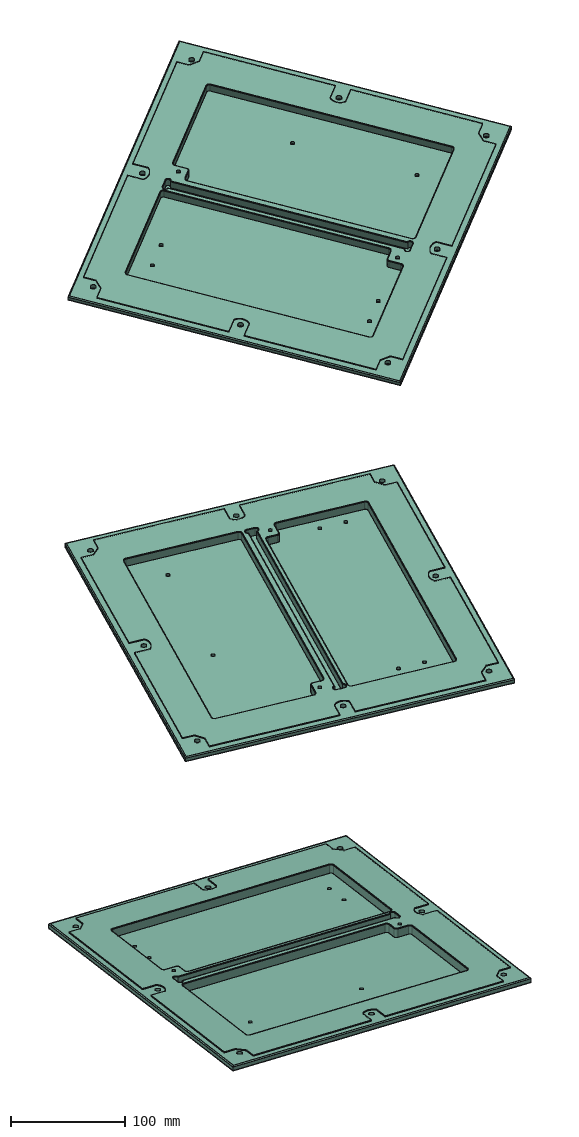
import cadquery as cq

plate_side = 307.5
total_height = 15.0
pan_height = 9.2
rim_chamfer = 1.0
step_height = 1.0
rim_top = total_height - step_height

panel_half = 147.5
hole_offset = 136.3
mount_hole_diameter = 5.0
notch_half_width = 7.0
notch_side_reach = 3.0
notch_arc_reach = 6.0

pan_top_side = 254.0
pan_bottom_side = 237.0

pocket_half_length = 114.0
pocket_depth = 9.0
corner_radius = 2.5
mouth_chamfer = 0.5
pad_length = 15.7
upper_pocket_y = (4.0, 113.8)
upper_pad_y = 17.2
lower_pocket_y = (-pocket_half_length, -13.5)
lower_pad_y = -27.0

slot_y = (-9.2, -1.8)
slot_depth = pocket_depth
relief_radius = 2.0

screw_hole_diameter = 3.5
screw_hole_depth = 3.0
floor_holes = [(-24.3, 80.5), (90.7, 80.5)]
floor_holes += [(x, y) for x in (-97.0, 104.0) for y in (-90.5, -66.0)]
pad_holes = [(-106.7, 11.0), (106.7, -21.0)]


def make_plate():
    return (
        cq.Workplane("XY")
        .workplane(offset=pan_height)
        .rect(plate_side, plate_side)
        .extrude(rim_top - pan_height)
        .faces(">Z")
        .chamfer(rim_chamfer)
    )


def make_pan():
    return (
        cq.Workplane("XY")
        .rect(pan_bottom_side, pan_bottom_side)
        .workplane(offset=pan_height)
        .rect(pan_top_side, pan_top_side)
        .loft(combine=True)
    )


def make_panel():
    """Raised panel, notched at the corners and at the middle of each side."""
    panel = (
        cq.Workplane("XY")
        .workplane(offset=rim_top)
        .rect(2 * panel_half, 2 * panel_half)
        .extrude(step_height)
    )
    inner = hole_offset - notch_half_width
    outer = plate_side / 2
    corner_notch = (
        cq.Workplane("XY")
        .workplane(offset=rim_top)
        .moveTo(outer, outer)
        .lineTo(inner, outer)
        .lineTo(inner, hole_offset)
        .lineTo(hole_offset, inner)
        .lineTo(outer, inner)
        .close()
        .extrude(step_height)
    )
    side_end = hole_offset - notch_side_reach
    side_notch = (
        cq.Workplane("XY")
        .workplane(offset=rim_top)
        .moveTo(outer, notch_half_width)
        .lineTo(side_end, notch_half_width)
        .threePointArc((hole_offset - notch_arc_reach, 0), (side_end, -notch_half_width))
        .lineTo(outer, -notch_half_width)
        .close()
        .extrude(step_height)
    )
    for quarter in range(4):
        for notch in (corner_notch, side_notch):
            panel = panel.cut(notch.rotate((0, 0, 0), (0, 0, 1), 90 * quarter))
    return panel


def box_between(x_range, y_range, depth):
    """Block reaching down from the panel top by the given depth."""
    return (
        cq.Workplane("XY")
        .workplane(offset=total_height - depth)
        .moveTo(x_range[0], y_range[0])
        .lineTo(x_range[1], y_range[0])
        .lineTo(x_range[1], y_range[1])
        .lineTo(x_range[0], y_range[1])
        .close()
        .extrude(depth)
    )


def flare_mouth(opening):
    """Add a 45 degree flare around the top edge of an opening."""
    flare = (
        opening.faces(">Z")
        .wires()
        .toPending()
        .extrude(mouth_chamfer, taper=-45, combine=False)
        .translate((0, 0, -mouth_chamfer))
    )
    return opening.union(flare)


def make_pocket(y_range, pad_x, pad_y):
    """Pocket volume without the rectangular pad in one of its corners."""
    pocket = box_between((-pocket_half_length, pocket_half_length), y_range, pocket_depth)
    pocket = pocket.cut(box_between(pad_x, pad_y, pocket_depth))
    return flare_mouth(pocket.edges("|Z").fillet(corner_radius))


def make_slot():
    """Narrow slot with round cutter reliefs in its corners."""
    slot = box_between((-pocket_half_length, pocket_half_length), slot_y, slot_depth)
    relief_x = pocket_half_length - relief_radius
    reliefs = (
        cq.Workplane("XY")
        .workplane(offset=total_height - slot_depth)
        .pushPoints([(x, y) for x in (-relief_x, relief_x) for y in slot_y])
        .circle(relief_radius)
        .extrude(slot_depth)
    )
    return flare_mouth(slot.union(reliefs))


def make_holes(points, diameter, top, depth):
    return (
        cq.Workplane("XY")
        .workplane(offset=top - depth)
        .pushPoints(points)
        .circle(diameter / 2)
        .extrude(depth)
    )


pad_edge = pocket_half_length - pad_length
upper_pocket = make_pocket(
    upper_pocket_y, (-pocket_half_length, -pad_edge), (upper_pocket_y[0], upper_pad_y)
)
lower_pocket = make_pocket(
    lower_pocket_y, (pad_edge, pocket_half_length), (lower_pad_y, lower_pocket_y[1])
)

hole_places = (-hole_offset, 0, hole_offset)
mount_points = [(x, y) for x in hole_places for y in hole_places if (x, y) != (0, 0)]

floor_height = total_height - pocket_depth

result = make_plate().union(make_pan()).union(make_panel())
result = result.cut(upper_pocket).cut(lower_pocket).cut(make_slot())
result = result.cut(make_holes(mount_points, mount_hole_diameter, total_height, total_height))
result = result.cut(make_holes(floor_holes, screw_hole_diameter, floor_height, screw_hole_depth))
result = result.cut(make_holes(pad_holes, screw_hole_diameter, total_height, screw_hole_depth))